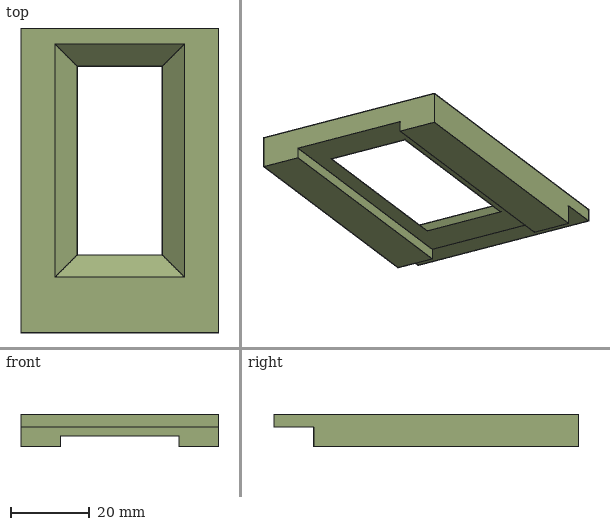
import cadquery as cq

width = 50.2
length = 77.2
height = 8.2

lip_length = 10.0
lip_thickness = 3.25

channel_width = 30.0
channel_depth = 2.7

window_width = 32.8
window_length = 59.05
window_back_margin = 4.0
roof_thickness = height - channel_depth
wall_inset = 5.6

front_y = -length / 2
back_y = length / 2
window_center_y = back_y - window_back_margin - window_length / 2


def stepped_plate():
    """Full-width plate, thinned from below at the -Y end to leave the lip."""
    body_front_y = front_y + lip_length
    profile = [
        (body_front_y, 0),
        (back_y, 0),
        (back_y, height),
        (front_y, height),
        (front_y, height - lip_thickness),
        (body_front_y, height - lip_thickness),
    ]
    return cq.Workplane("YZ").polyline(profile).close().extrude(width / 2, both=True)


def underside_channel():
    return cq.Workplane("XY").box(
        channel_width, length, channel_depth, centered=(True, True, False)
    )


def tapered_window():
    """Opening that narrows equally on all four sides from the top face down."""
    return (
        cq.Workplane("XY", origin=(0, window_center_y, height))
        .rect(window_width, window_length)
        .workplane(offset=-roof_thickness)
        .rect(window_width - 2 * wall_inset, window_length - 2 * wall_inset)
        .loft(ruled=True)
    )


result = stepped_plate().cut(underside_channel()).cut(tapered_window())